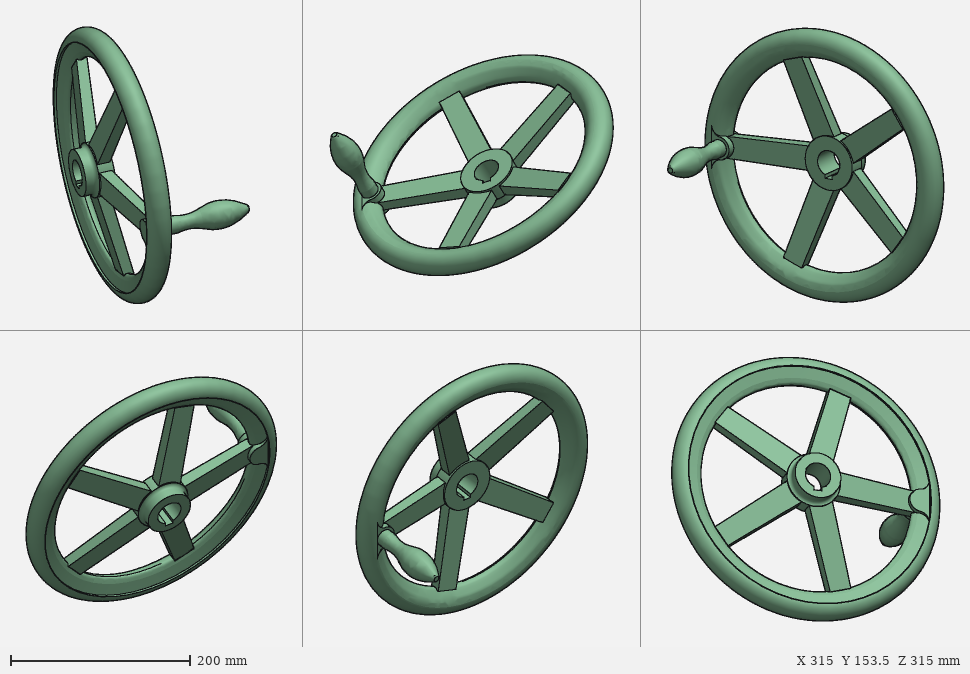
import cadquery as cq
import math

wheel_radius = 157.5
rim_thickness = 29.0
rim_half = rim_thickness / 2
ring_radius = wheel_radius - rim_half
recess_radius = 287.0 / 2
recess_lip = 0.3
recess_step = 3.0
recess_inner_radius = 130.7
recess_depth = 7.0
rim_inner_radius = 124.5
rim_inner_y = -2.0
rim_shoulder_radius = 129.8
rim_shoulder_y = 8.0
lip_direction = (1, -0.6)

hub_projection = 27.5
hub_radius = 54.0 / 2
hub_root_radius = 31.5
hub_length = 33.5
hub_collar_length = 9.8
hub_root_length = 14.5
hub_front = -rim_half - hub_projection
hub_shoulder = hub_front + hub_collar_length
hub_root = hub_front + hub_root_length
hub_back = hub_front + hub_length
bore_radius = 14.8
keyway_width = 9.5
keyway_reach = 18.3

spoke_count = 5
spoke_hub_width = 29.0
spoke_rim_width = 25.8
spoke_start = 23.5
spoke_end = 125.5
spoke_thickness_hub = 15.0
spoke_thickness_rim = 12.5
spoke_slope = 0.205

handle_radius_from_axis = 132.0
boss_radius = 13.5
boss_flare_width = 50.5
boss_flare_radius = 141.7
boss_bend_shift = 1.0
boss_bend_rise = 3.5
boss_setback = 1.5
boss_front = -rim_half + boss_setback
handle_collar_radius = 20.0 / 2
handle_collar_length = 10.5
handle_neck_radius = 8.5
handle_neck_position = 22.7
handle_grip_start_radius = 11.0
handle_grip_start = 38.7
handle_belly_radius = 16.0
handle_belly_position = 62.5
handle_length = 97.0
handle_tip_radius = 4.7
handle_tip_chamfer = 1.5
handle_grip_start_direction = (0.45, 1)
handle_tip_direction = (-0.6, 1)


def make_rim():
    """Round outside, rounded inner lip, and a conical recess in the hub side."""
    lip_y = -rim_half + recess_depth
    profile = (
        cq.Workplane("XY")
        .moveTo(ring_radius, -rim_half)
        .threePointArc((wheel_radius, 0), (ring_radius, rim_half))
        .spline(
            [(rim_shoulder_radius, rim_shoulder_y), (rim_inner_radius, rim_inner_y)],
            tangents=[(-1, 0), (-1, -1), (0, -1)],
            includeCurrent=True,
        )
        .spline(
            [(recess_inner_radius, lip_y)],
            tangents=[(0, -1), lip_direction],
            includeCurrent=True,
        )
        .lineTo(recess_radius, -rim_half + recess_step)
        .lineTo(recess_radius, -rim_half + recess_lip)
        .lineTo(ring_radius, -rim_half)
        .close()
    )
    return profile.revolve(360, (0, 0, 0), (0, 1, 0))


def make_hub():
    """Hub barrel with a concave flare between its front end and its root."""
    blend = hub_root_radius - hub_radius
    profile = (
        cq.Workplane("XY")
        .moveTo(0, hub_front)
        .lineTo(hub_radius, hub_front)
        .lineTo(hub_radius, hub_shoulder)
        .threePointArc(
            (
                hub_root_radius - blend * math.sqrt(0.5),
                hub_root - (hub_root - hub_shoulder) * (1 - math.sqrt(0.5)),
            ),
            (hub_root_radius, hub_root),
        )
        .lineTo(hub_root_radius, hub_back)
        .lineTo(0, hub_back)
        .close()
    )
    return profile.revolve(360, (0, 0, 0), (0, 1, 0))


def make_spoke():
    """Spoke along +X: side outline trimmed by its tapering front outline."""
    start_y = hub_root
    end_y = start_y + spoke_slope * (spoke_end - spoke_start)
    side = (
        cq.Workplane("XY")
        .polyline([
            (spoke_start, start_y),
            (spoke_end, end_y),
            (spoke_end, end_y + spoke_thickness_rim),
            (spoke_start, start_y + spoke_thickness_hub),
        ])
        .close()
        .extrude(spoke_hub_width / 2, both=True)
    )
    front = (
        cq.Workplane("XZ")
        .polyline([
            (spoke_start, -spoke_hub_width / 2),
            (spoke_end, -spoke_rim_width / 2),
            (spoke_end, spoke_rim_width / 2),
            (spoke_start, spoke_hub_width / 2),
        ])
        .close()
        .extrude(wheel_radius, both=True)
    )
    return side.intersect(front)


def make_boss():
    """Flat boss filling the rim recess, flaring out towards the rim."""
    x = handle_radius_from_axis
    half_flare = boss_flare_width / 2
    bend = ((x + boss_flare_radius) / 2 + boss_bend_shift, boss_radius + boss_bend_rise)
    return (
        cq.Workplane("XZ", origin=(0, boss_front, 0))
        .moveTo(x, -boss_radius)
        .threePointArc((x - boss_radius, 0), (x, boss_radius))
        .threePointArc(bend, (boss_flare_radius, half_flare))
        .lineTo(boss_flare_radius, -half_flare)
        .threePointArc((bend[0], -bend[1]), (x, -boss_radius))
        .close()
        .extrude(boss_front - rim_half)
    )


def make_handle():
    """Turned handle: collar, waisted neck and bulging grip."""
    profile = (
        cq.Workplane("XY", origin=(handle_radius_from_axis, rim_half, 0))
        .moveTo(0, -rim_half)
        .lineTo(handle_collar_radius, -rim_half)
        .lineTo(handle_collar_radius, handle_collar_length)
        .spline(
            [
                (handle_neck_radius, handle_neck_position),
                (handle_grip_start_radius, handle_grip_start),
            ],
            includeCurrent=True,
        )
        .spline(
            [
                (handle_belly_radius, handle_belly_position),
                (handle_tip_radius, handle_length - handle_tip_chamfer),
            ],
            tangents=[handle_grip_start_direction, (0, 1), handle_tip_direction],
            includeCurrent=True,
        )
        .lineTo(handle_tip_radius - handle_tip_chamfer, handle_length)
        .lineTo(0, handle_length)
        .close()
    )
    return profile.revolve(360, (0, 0, 0), (0, 1, 0))


def make_bore():
    """Through bore with a keyway on its -Z side."""
    sketch = cq.Workplane("XZ", origin=(0, hub_back, 0))
    bore = sketch.circle(bore_radius).extrude(hub_length)
    keyway = sketch.center(0, -keyway_reach / 2).rect(keyway_width, keyway_reach).extrude(hub_length)
    return bore.union(keyway)


result = make_rim().union(make_hub())
spoke = make_spoke()
for index in range(spoke_count):
    result = result.union(spoke.rotate((0, 0, 0), (0, 1, 0), index * 360 / spoke_count))
result = result.union(make_boss()).union(make_handle()).cut(make_bore())